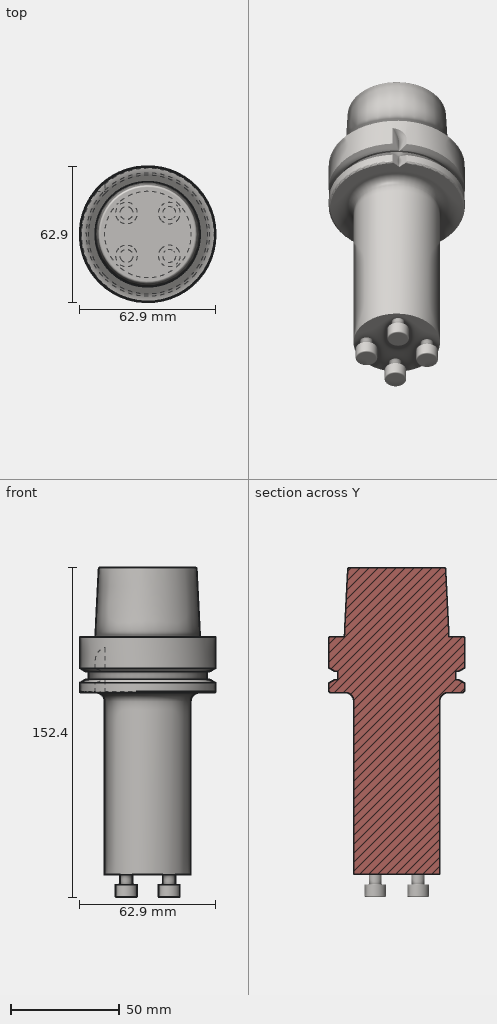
import cadquery as cq
import math


overall_length = 152.43

taper_length = 32.0
taper_base_radius = 48.6 / 2
taper_top_radius = 45.4 / 2
taper_top_fillet = 1.0

flange_radius = 62.94 / 2
flange_height = 26.0
flange_top_chamfer = 0.4
flange_bottom_fillet = 0.8
groove_radius = 54.95 / 2
groove_center_z = -18.0
groove_width = 3.5
groove_mouth_width = 6.9
groove_flank_angle = 30.0
groove_flank_height = (groove_mouth_width - groove_width) / 2
groove_ledge_radius = flange_radius - groove_flank_height / math.tan(math.radians(groove_flank_angle))

body_radius = 40.0 / 2
body_bottom = -110.0
body_fillet = 3.8

notch_floor_x = -19.75
notch_wall_y = 19.9
notch_end_radius = 7.0
notch_end_center_z = -11.5

screw_count = 4
screw_circle_diameter = 28.0
screw_first_angle = 45.0
screw_shank_diameter = 6.0
screw_head_diameter = 10.0
screw_head_height = 5.8
screw_head_fillet = 0.6
screw_neck_fillet = 0.4
screw_tip_z = taper_length - overall_length


def make_taper():
    """Solid conical shank, rounded at its free end."""
    return (
        cq.Workplane("XZ")
        .moveTo(0, 0)
        .lineTo(taper_base_radius, 0)
        .lineTo(taper_top_radius, taper_length)
        .lineTo(0, taper_length)
        .close()
        .revolve(360, (0, 0, 0), (0, 1, 0))
        .faces(">Z")
        .edges()
        .fillet(taper_top_fillet)
    )


def make_flange():
    """Disc with its two outer rims broken and the gripper groove turned into it."""
    disc = cq.Workplane("XY").circle(flange_radius).extrude(-flange_height)
    disc = disc.faces(">Z").edges().chamfer(flange_top_chamfer)
    disc = disc.faces("<Z").edges().fillet(flange_bottom_fillet)
    return disc.cut(make_groove())


def make_groove():
    """Ring with a straight-sided bottom, flat ledges and sloped flanks out to the rim."""
    floor_top = groove_center_z + groove_width / 2
    floor_bottom = groove_center_z - groove_width / 2
    mouth_top = groove_center_z + groove_mouth_width / 2
    mouth_bottom = groove_center_z - groove_mouth_width / 2
    return (
        cq.Workplane("XZ")
        .moveTo(groove_radius, floor_top)
        .lineTo(groove_ledge_radius, floor_top)
        .lineTo(flange_radius, mouth_top)
        .lineTo(flange_radius, mouth_bottom)
        .lineTo(groove_ledge_radius, floor_bottom)
        .lineTo(groove_radius, floor_bottom)
        .close()
        .revolve(360, (0, 0, 0), (0, 1, 0))
    )


def make_body():
    """Cylinder below the flange that flares into the flange face."""
    flare_radius = body_radius + body_fillet
    flare_bottom = -flange_height - body_fillet
    arc_mid_offset = body_fillet * (1 - math.sqrt(0.5))
    return (
        cq.Workplane("XZ")
        .moveTo(0, -flange_height)
        .lineTo(flare_radius, -flange_height)
        .threePointArc(
            (body_radius + arc_mid_offset, -flange_height - arc_mid_offset),
            (body_radius, flare_bottom),
        )
        .lineTo(body_radius, body_bottom)
        .lineTo(0, body_bottom)
        .close()
        .revolve(360, (0, 0, 0), (0, 1, 0))
    )


def make_notch():
    """Round-ended slot, open at the flange bottom and cut inward from the -X side."""
    center_y = notch_wall_y + notch_end_radius
    far_wall_y = notch_wall_y + 2 * notch_end_radius
    return (
        cq.Workplane("YZ", origin=(notch_floor_x, 0, 0))
        .moveTo(notch_wall_y, -flange_height)
        .lineTo(notch_wall_y, notch_end_center_z)
        .threePointArc((center_y, notch_end_center_z + notch_end_radius), (far_wall_y, notch_end_center_z))
        .lineTo(far_wall_y, -flange_height)
        .close()
        .extrude(-flange_radius)
    )


def make_screw():
    """Screw on the Z axis: rounded head with a shank that ends at the body face."""
    head_top = screw_tip_z + screw_head_height
    head = (
        cq.Workplane("XY", origin=(0, 0, screw_tip_z))
        .circle(screw_head_diameter / 2)
        .extrude(screw_head_height)
        .faces("<Z")
        .edges()
        .fillet(screw_head_fillet)
    )
    shank = (
        cq.Workplane("XY", origin=(0, 0, head_top))
        .circle(screw_shank_diameter / 2)
        .extrude(body_bottom - head_top)
    )
    neck_size = screw_shank_diameter / 2 + screw_neck_fillet
    neck_zone = cq.selectors.BoxSelector(
        (-neck_size, -neck_size, head_top - screw_neck_fillet),
        (neck_size, neck_size, head_top + screw_neck_fillet),
        boundingbox=True,
    )
    return head.union(shank).edges(neck_zone).fillet(screw_neck_fillet)


def make_screws():
    """Identical screws spaced evenly on their pitch circle."""
    screw = make_screw()
    screws = cq.Workplane("XY")
    for index in range(screw_count):
        angle = math.radians(screw_first_angle + index * 360 / screw_count)
        x = screw_circle_diameter / 2 * math.cos(angle)
        y = screw_circle_diameter / 2 * math.sin(angle)
        screws = screws.union(screw.translate((x, y, 0)))
    return screws


notched_flange = make_flange().cut(make_notch())
result = notched_flange.union(make_taper()).union(make_body()).union(make_screws())